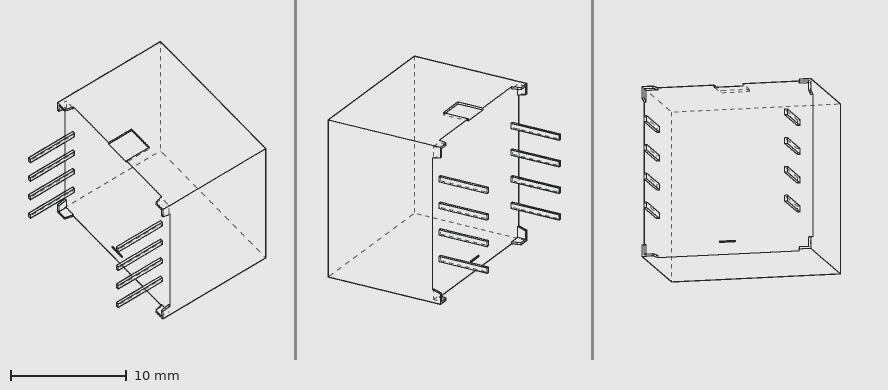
import cadquery as cq

case_side = 15.0
total_length = 15.2
case_depth = 10.4

foot_height = 0.8
foot_wall = 0.2
foot_tip = 1.0
foot_root = 1.23

recess_width = 2.54
recess_length = 2.5
recess_depth = 0.2

pin_thickness = 0.25
pin_width = 0.5
pin_pitch = 2.54
pin_row_spacing = 12.5
pins_per_row = 4

mark_length = 1.4
mark_width = 0.1
mark_depth = 0.08
mark_x = -0.09
mark_z = -6.35

half_side = case_side / 2
pin_length = total_length - case_depth


def square_block(side, y_start, y_end):
    """Square block centred on the Y axis, between two Y positions."""
    return cq.Workplane("XY").box(side, y_end - y_start, side).translate((0, (y_start + y_end) / 2, 0))


def foot_gap(plane):
    """Tapered gap between two feet, running right through along the plane's normal."""
    half_gap_root = half_side - foot_root
    half_gap_tip = half_side - foot_tip
    outline = [
        (-half_gap_root, 0),
        (half_gap_root, 0),
        (half_gap_tip, -foot_height),
        (-half_gap_tip, -foot_height),
    ]
    return cq.Workplane(plane).polyline(outline).close().extrude(half_side, both=True)


def make_feet():
    """Four L-shaped corner feet: a square rim with a tapered gap in every side."""
    rim = square_block(case_side, -foot_height, 0)
    rim = rim.cut(square_block(case_side - 2 * foot_wall, -foot_height, 0))

    across_x = cq.Plane(origin=(0, 0, 0), xDir=(1, 0, 0), normal=(0, 0, 1))
    across_z = cq.Plane(origin=(0, 0, 0), xDir=(0, 0, 1), normal=(-1, 0, 0))
    for plane in (across_x, across_z):
        rim = rim.cut(foot_gap(plane))
    return rim


def make_recess():
    """Rectangular recess in the top face, open toward the mounting face."""
    recess = cq.Workplane("XY").box(recess_width, recess_length, recess_depth)
    return recess.translate((0, recess_length / 2, half_side - recess_depth / 2))


def make_pins():
    """Two rows of straight rectangular pins standing on the mounting face."""
    pin_spots = [
        (side * pin_row_spacing / 2, (index - (pins_per_row - 1) / 2) * pin_pitch)
        for side in (-1, 1)
        for index in range(pins_per_row)
    ]
    return cq.Workplane("XZ").pushPoints(pin_spots).rect(pin_thickness, pin_width).extrude(pin_length)


def make_mark():
    """Thin bar that lies flush in the mounting face."""
    bar = cq.Workplane("XY").box(mark_length, mark_depth, mark_width)
    return bar.translate((mark_x, mark_depth / 2, mark_z))


def make_module(mark):
    """Case block with its feet and pins, and a pocket that holds the mark."""
    module = square_block(case_side, 0, case_depth).union(make_feet()).cut(make_recess())
    return module.union(make_pins()).cut(mark)


mark = make_mark()
module = make_module(mark)

result = cq.Compound.makeCompound([module.val(), mark.val()])